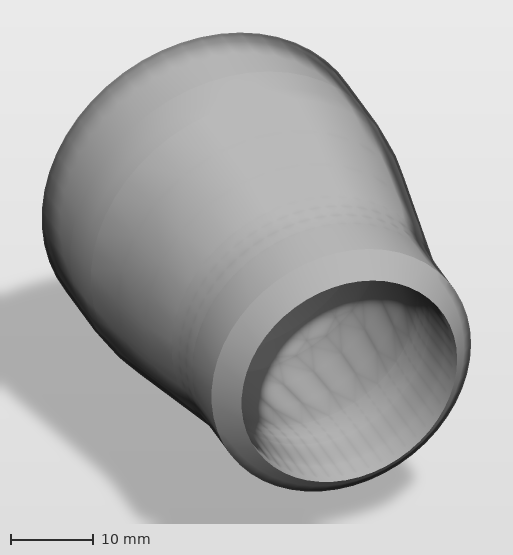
import cadquery as cq
import math

length = 51.0
large_radius = 21.15
small_radius = 16.85
wall = 2.85
bevel_length = 2.7
large_bend_start = 12.3
small_bend_end = 41.8
bend_length = 5.55

large_bore_radius = large_radius - wall
small_bore_radius = small_radius - wall
large_bend_end = large_bend_start + bend_length
small_bend_start = small_bend_end - bend_length

solver_steps = 20


def cone_angle(drop):
    """Angle of a cone tangent to two equal bends that together lose the given radius."""
    angle = 0.0
    for _ in range(solver_steps):
        cone_drop = drop - 2 * bend_length * math.tan(angle / 2)
        angle = math.atan2(cone_drop, small_bend_start - large_bend_end)
    return angle


def add_bends(profile, large, small):
    """Continue a profile along the large cylinder, both bends and the cone."""
    bend_drop = bend_length * math.tan(cone_angle(large - small) / 2)
    return (
        profile.lineTo(large_bend_start, large)
        .tangentArcPoint((large_bend_end, large - bend_drop), relative=False)
        .lineTo(small_bend_start, small + bend_drop)
        .tangentArcPoint((small_bend_end, small), relative=False)
    )


def revolve_profile(profile):
    """Close a half profile along the X axis and revolve it into a solid."""
    return profile.lineTo(length, 0).close().revolve(360, (0, 0, 0), (1, 0, 0))


def outer_body():
    """Solid outer shape with a weld bevel at each end."""
    profile = cq.Workplane("XY").lineTo(0, large_bore_radius).lineTo(bevel_length, large_radius)
    profile = add_bends(profile, large_radius, small_radius)
    profile = profile.lineTo(length - bevel_length, small_radius).lineTo(length, small_bore_radius)
    return revolve_profile(profile)


def bore():
    """Through bore that follows the outer shape from end to end."""
    profile = cq.Workplane("XY").lineTo(0, large_bore_radius)
    profile = add_bends(profile, large_bore_radius, small_bore_radius)
    return revolve_profile(profile.lineTo(length, small_bore_radius))


result = outer_body().cut(bore())